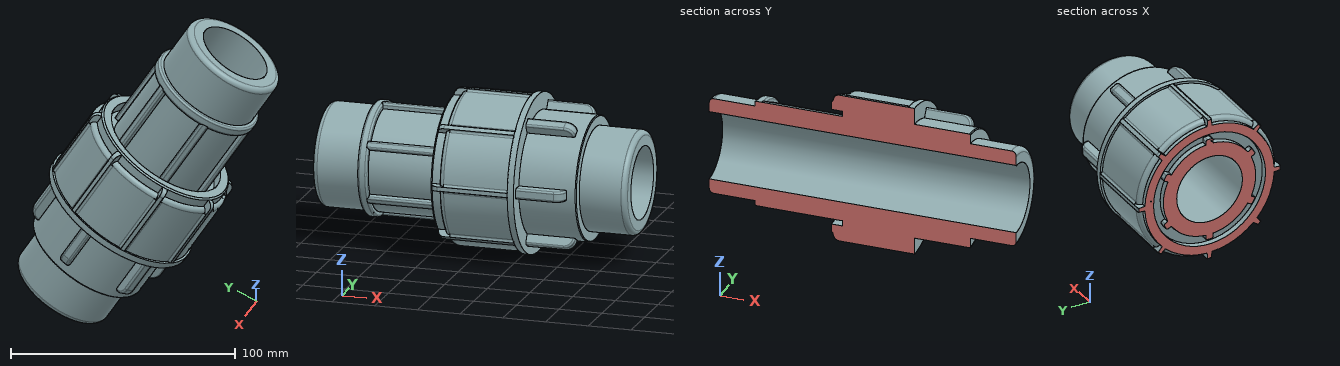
import cadquery as cq
import math

length = 147.0

bore_radius = 33.5 / 2
spigot_radius = 47.8 / 2
spigot_rounding = 2.4

collar_radius = 52.6 / 2
collar_start = 21.9
collar_end = 26.3
collar_rounding = 0.9

nut_radius = 73.4 / 2
nut_start = 58.5
nut_end = 98.3
flange_width = 3.0
flange_start = nut_end - flange_width
barrel_radius = 35.6
nose_radius = 33.4
nose_end = 63.0
nose_chamfer = 0.7
shoulder_rounding = barrel_radius - nose_radius
mouth_radius = 57.3 / 2
mouth_depth = 5.3

body_radius = 57.3 / 2
body_end = 125.1
body_chamfer = 0.5

nut_rib_count = 8
nut_rib_top_half_width = 1.0
nut_rib_base_half_width = 1.5
nut_rib_base_radius = 32.3
nut_rib_rounding = 3.2
foot_half_width = 2.0
foot_hollowing = 0.3

straight_rib_rounding = 0.9

spigot_rib_count = 6
spigot_rib_half_width = 1.9

body_rib_count = 6
body_rib_radius = 33.4
body_rib_half_width = 4.9 / 2
body_rib_end = 120.7
body_rib_end_rounding = body_rib_radius - body_radius

rib_overlap = 0.9


def cylinder(radius, start, end):
    return cq.Workplane("YZ").workplane(offset=start).circle(radius).extrude(end - start)


def around_axis(rib, count, first_angle=0.0):
    """Copies of a rib standing on the +Z side, spread evenly around X."""
    ribs = cq.Workplane("YZ")
    for index in range(count):
        angle = first_angle + index * 360.0 / count
        ribs = ribs.add(rib.rotate((0, 0, 0), (1, 0, 0), angle))
    return ribs.combine()


def tapered_bar(base_half_width, base_radius, top_half_width, top_radius, start, end):
    """Bar along X with a trapezoidal section between two heights above the axis."""
    return (
        cq.Workplane("YZ")
        .workplane(offset=start)
        .moveTo(-base_half_width, base_radius)
        .lineTo(base_half_width, base_radius)
        .lineTo(top_half_width, top_radius)
        .lineTo(-top_half_width, top_radius)
        .close()
        .extrude(end - start)
    )


def straight_rib(half_width, foot_radius, top_radius, start, end, end_rounding=None):
    """Rib of constant width with rounded long edges and, if asked, a rounded rear end."""
    rib = tapered_bar(half_width, foot_radius - rib_overlap, half_width, top_radius, start, end)
    if end_rounding:
        rib = rib.faces(">X").edges(">Z").fillet(end_rounding)
    return rib.faces(">Z").edges("|X").fillet(straight_rib_rounding)


def make_spigots():
    core = cylinder(spigot_radius, 0, length).faces("<X or >X").edges().fillet(spigot_rounding)
    collar = cylinder(collar_radius, collar_start, collar_end).edges().fillet(collar_rounding)
    return core.union(collar)


def make_spigot_ribs():
    rib = straight_rib(
        spigot_rib_half_width,
        spigot_radius,
        collar_radius,
        collar_end - collar_rounding,
        nut_start + mouth_depth,
    )
    return around_axis(rib, spigot_rib_count)


def make_nut():
    nose = cylinder(nose_radius, nut_start, nose_end).faces("<X").edges().chamfer(nose_chamfer)
    barrel = cylinder(barrel_radius, nose_end, nut_end)
    barrel = barrel.faces("<X").edges().fillet(shoulder_rounding)
    flange = cylinder(nut_radius, flange_start, nut_end)
    mouth = cylinder(mouth_radius, nut_start, nut_start + mouth_depth)
    return nose.union(barrel).union(flange).cut(mouth)


def make_nut_ribs():
    rib = tapered_bar(
        nut_rib_base_half_width,
        nut_rib_base_radius,
        nut_rib_top_half_width,
        nut_radius,
        nut_start + nose_chamfer,
        flange_start,
    )
    rib = rib.faces("<X").edges(">Z").fillet(nut_rib_rounding)
    foot_edge_height = math.sqrt(barrel_radius**2 - foot_half_width**2)
    hollow_y = nut_rib_top_half_width + foot_hollowing * (foot_half_width - nut_rib_top_half_width)
    hollow_z = foot_edge_height + foot_hollowing * (nut_radius - foot_edge_height)
    foot_bottom = foot_edge_height - rib_overlap
    foot_start = nose_end + shoulder_rounding
    foot = (
        cq.Workplane("YZ")
        .workplane(offset=foot_start)
        .moveTo(-foot_half_width, foot_bottom)
        .lineTo(foot_half_width, foot_bottom)
        .lineTo(foot_half_width, foot_edge_height)
        .threePointArc((hollow_y, hollow_z), (nut_rib_top_half_width, nut_radius))
        .lineTo(-nut_rib_top_half_width, nut_radius)
        .threePointArc((-hollow_y, hollow_z), (-foot_half_width, foot_edge_height))
        .close()
        .extrude(flange_start - foot_start)
    )
    return around_axis(rib.union(foot), nut_rib_count)


def make_body():
    return cylinder(body_radius, flange_start, body_end).faces(">X").edges().chamfer(body_chamfer)


def make_body_ribs():
    rib = straight_rib(
        body_rib_half_width,
        body_radius,
        body_rib_radius,
        flange_start,
        body_rib_end,
        body_rib_end_rounding,
    )
    return around_axis(rib, body_rib_count, first_angle=90.0)


bore = cylinder(bore_radius, 0, length)

result = (
    make_spigots()
    .union(make_nut())
    .union(make_body())
    .union(make_nut_ribs())
    .union(make_spigot_ribs())
    .union(make_body_ribs())
    .cut(bore)
)